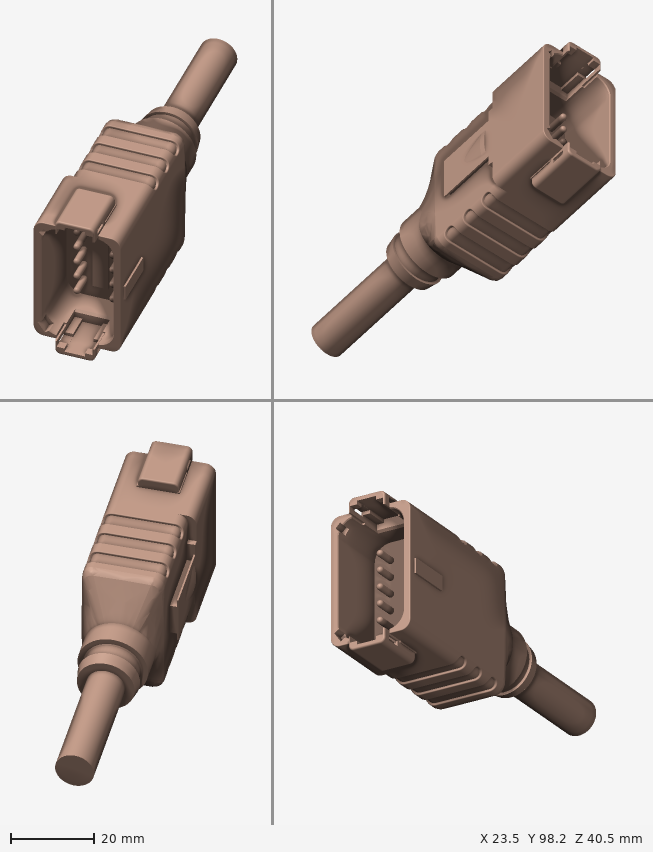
import cadquery as cq
import math


half_height = 17.3
right_face = 11.15
shell_left = -11.3
grip_left = -9.2
corner_radius = 2.65
shell_length = 19.5
grip_rear = 44.1
reach = 2 * half_height
edge_margin = 0.1
overlap = 1.0
rim_round = 0.2
shoulder_round = 2.6

cable_radius = 9.65 / 2
cable_end = 96.35
neck_radius = 14.0 / 2
neck_start = 57.95
neck_bevel = 0.3
collar_radius = 17.5 / 2
flange_start = 61.85
flange_end = 65.0
flange_large_radius = 7.75
flange_small_radius = 7.15
taper_end = 52.1
taper_end_radius = 8.55

groove_positions = (24.9, 32.0, 39.0)
groove_width = 3.7
groove_depth = 0.65
groove_reach = 2.35
groove_edge_round = 0.25

socket_half_width = 9.2
socket_half_height = 16.0
socket_radius = 4.5
socket_depth = 17.0
socket_rim_chamfer = 0.25
pin_radius = 0.88
pin_nose_ratio = 0.9
pin_length = 5.8
pin_column_x = 4.6
pin_pitch = 4.44
pin_rows = 6
bar_width = 4.0
bar_height = 24.0
bar_rise = 1.0
bar_x = -0.1
key_depth = 3.0
key_width = 1.5
key_x = -8.7
upper_key_z = 14.3
upper_key_length = 1.8
upper_key_angle = 45
lower_key_z = -14.4
lower_key_length = 3.2
lower_key_angle = -55

cover_half_width = 5.12
cover_foot_half_width = 5.36
cover_foot_top = 17.75
cover_outer = 20.25
cover_lip = 16.4
cover_front = -1.9
cover_rear = 12.35
cover_round = 1.4
cover_rear_round = 0.45
cover_front_round = 0.5
channel_rear = 10.5
channel_top = 19.05
channel_half_width = 2.65
channel_shelf = 18.1
channel_wide_half_width = 4.65
channel_bottom = 15.5
channel_ramp_top = 16.6
channel_ramp_length = 1.1
window_front = 0.2
window_rear = 4.1
window_bottom = 17.65
window_top = 19.0
rim_notch_depth = 5.0

tongue_end = 37.9
tongue_half_width = 6.4
tongue_thickness = 0.4
tongue_web_half_width = 4.3
tongue_root_end = 20.95
tongue_root_half_width = 9.6
bump_front = 22.1
bump_crest = 23.6
bump_tip = 30.1
bump_half_width = 4.05
bump_rise = 0.55
rib_front = 1.9
rib_rear = 14.0
rib_half_width = 2.0
rib_rise = 0.5


def block(x0, x1, y0, y1, z0, z1):
    """Box between two opposite corners."""
    size = (x1 - x0, y1 - y0, z1 - z0)
    return cq.Workplane("XY").box(*size, centered=False).translate((x0, y0, z0))


def section_plane(y):
    """Cross-section plane at Y = y; its local X, Y are global X, Z, and it extrudes toward -Y."""
    return cq.Workplane("XZ", origin=(0, y, 0))


def rounded_bar(x0, x1, half_z, radius, y0, y1):
    """Rounded rectangle spanning x0..x1 and -half_z..half_z, running from y0 to y1."""
    return block(x0, x1, y0, y1, -half_z, half_z).edges("|Y").fillet(radius)


def disc(radius, y0, y1):
    """Cylinder about the Y axis."""
    return section_plane(y1).circle(radius).extrude(y1 - y0)


def mirrored_pair(shape):
    """The shape above the mid plane joined to its mirror image below it."""
    return shape.union(shape.mirror("XY"))


def make_grip():
    """Overmoulded body with its tapering rear and rounded shoulder."""
    grip = rounded_bar(grip_left, right_face, half_height, corner_radius, 0, grip_rear)
    rear_outline = grip.faces(">Y").wires().val()
    collar_outline = section_plane(taper_end).circle(taper_end_radius).wires().val()
    taper = cq.Solid.makeLoft([rear_outline, collar_outline], True)
    body = grip.union(taper)
    shoulder_zone = cq.selectors.BoxSelector(
        (-reach, grip_rear - edge_margin, -reach), (reach, grip_rear + edge_margin, reach), boundingbox=True
    )
    return body.edges(shoulder_zone).fillet(shoulder_round)


def inset_grip(depth):
    """Grip cross-section shrunk evenly by a depth, as a bar through the whole grip."""
    return rounded_bar(
        grip_left + depth,
        right_face - depth,
        half_height - depth,
        corner_radius - depth,
        0,
        grip_rear,
    )


def cut_grooves(body):
    """Cut finger grooves a constant depth into the grip's top, bottom and corners; round their edges."""
    groove_radius = groove_width / 2
    arc_center = half_height - groove_reach + groove_radius
    floor_core = inset_grip(groove_depth)
    for y in groove_positions:
        slot = cq.Workplane("YZ").center(y, arc_center).circle(groove_radius).extrude(reach, both=True)
        slot = slot.union(block(-reach, reach, y - groove_radius, y + groove_radius, arc_center, reach))
        body = body.cut(mirrored_pair(slot).cut(floor_core))
    groove_zone = cq.selectors.BoxSelector(
        (-reach, min(groove_positions) - groove_width, -reach),
        (reach, max(groove_positions) + groove_width, reach),
        boundingbox=True,
    )
    skin_core = inset_grip(groove_depth / 2).val()
    mouth_edges = body.edges(groove_zone).filter(lambda edge: not skin_core.isInside(edge.positionAt(0.5)))
    return mouth_edges.fillet(groove_edge_round)


def make_cable_end():
    """Collar, neck, barbed flange and cable, all coaxial."""
    profile = (
        cq.Workplane("XY")
        .moveTo(0, grip_rear)
        .lineTo(collar_radius, grip_rear)
        .lineTo(collar_radius, neck_start)
        .lineTo(neck_radius + neck_bevel, neck_start)
        .lineTo(neck_radius, neck_start + neck_bevel)
        .lineTo(neck_radius, flange_start)
        .lineTo(flange_large_radius, flange_start)
        .lineTo(flange_small_radius, flange_end)
        .lineTo(cable_radius, flange_end)
        .lineTo(cable_radius, cable_end)
        .lineTo(0, cable_end)
        .close()
    )
    return profile.revolve(360, (0, 0, 0), (0, 1, 0))


def make_tongue():
    """T-shaped lock tongue reaching back from the shell over the grip's left side."""
    inside = grip_left + overlap
    root = block(
        shell_left,
        inside,
        shell_length - overlap,
        tongue_root_end,
        -tongue_root_half_width,
        tongue_root_half_width,
    )
    plate = block(
        shell_left,
        shell_left + tongue_thickness,
        shell_length,
        tongue_end,
        -tongue_half_width,
        tongue_half_width,
    )
    web = block(
        shell_left, inside, shell_length, tongue_end, -tongue_web_half_width, tongue_web_half_width
    )
    return root.union(plate).union(web)


def make_bump():
    """Thumb bump: a shallow cylinder that runs level, then slopes down to a parabolic tip."""
    radius = (bump_half_width**2 + bump_rise**2) / (2 * bump_rise)
    crest_x = shell_left - bump_rise
    slope_length = bump_tip - bump_crest
    slope_angle = math.degrees(math.atan2(bump_rise, slope_length))
    level = section_plane(bump_crest).center(crest_x + radius, 0).circle(radius)
    level = level.extrude(bump_crest - bump_front)
    slope = section_plane(bump_tip + overlap).center(crest_x + radius, 0).circle(radius)
    slope = slope.extrude(bump_tip + overlap - bump_front)
    slope = slope.rotate((crest_x, bump_crest, 0), (crest_x, bump_crest, 1), -slope_angle)
    beyond_crest = block(
        crest_x, shell_left, bump_crest, bump_tip, -bump_half_width, bump_half_width
    )
    before_crest = block(
        crest_x, shell_left, bump_front, bump_crest, -bump_half_width, bump_half_width
    )
    return slope.intersect(beyond_crest).union(level.intersect(before_crest))


def make_cover():
    """Upper latch cover, still solid, on a slightly wider foot behind the rim notch."""
    cover = block(
        -cover_half_width, cover_half_width, cover_front, cover_rear, cover_lip, cover_outer
    )
    cover = cover.edges("|Y and >Z").fillet(cover_round)
    cover = cover.faces(">Y").edges(">Z").fillet(cover_rear_round)
    cover = cover.faces("<Y").edges("not <Z").fillet(cover_front_round)
    foot = block(
        -cover_foot_half_width,
        cover_foot_half_width,
        rim_notch_depth,
        cover_rear,
        cover_lip,
        cover_foot_top,
    )
    return cover.union(foot)


def make_cover_cuts():
    """Stepped channel inside the upper latch cover and the window through its side walls."""
    narrow = block(
        -channel_half_width, channel_half_width, cover_front, channel_rear, channel_bottom, channel_top
    )
    wide = block(
        -channel_wide_half_width,
        channel_wide_half_width,
        cover_front,
        channel_rear,
        channel_bottom,
        channel_shelf,
    )
    window = block(
        -cover_half_width, cover_half_width, window_front, window_rear, window_bottom, window_top
    )
    ramp = (
        cq.Workplane("YZ")
        .moveTo(channel_rear, channel_ramp_top)
        .lineTo(channel_rear + channel_ramp_length, channel_bottom)
        .lineTo(channel_rear, channel_bottom)
        .close()
        .extrude(channel_wide_half_width, both=True)
    )
    return narrow.union(wide).union(window).union(ramp)


def make_rim_notch():
    """Gap in the shell's upper wall that frees the front of the latch cover."""
    return block(
        -cover_foot_half_width, cover_foot_half_width, 0, rim_notch_depth, channel_bottom, half_height
    )


def add_shell(grip):
    """Widen the front of the grip on its left into the shell and round the rim."""
    left_side = block(shell_left, 0, 0, shell_length, -half_height, half_height)
    left_side = left_side.edges("|Y and <X").fillet(corner_radius)
    return grip.union(left_side).faces("<Y").edges().fillet(rim_round)


def make_socket():
    """Socket cavity with a bevelled mouth."""
    socket = rounded_bar(
        -socket_half_width, socket_half_width, socket_half_height, socket_radius, 0, socket_depth
    )
    mouth = rounded_bar(
        -socket_half_width - socket_rim_chamfer,
        socket_half_width + socket_rim_chamfer,
        socket_half_height + socket_rim_chamfer,
        socket_radius + socket_rim_chamfer,
        -socket_rim_chamfer,
        socket_rim_chamfer,
    )
    mouth = mouth.faces(">Y").edges().chamfer(socket_rim_chamfer)
    return socket.union(mouth)


def make_rib():
    """Low rib on the right side of the shell."""
    return block(
        right_face - overlap, right_face + rib_rise, rib_front, rib_rear, -rib_half_width, rib_half_width
    )


def make_key_slot(z, length, angle):
    """One shallow slot in the socket rim, turned by an angle in the rim plane."""
    slot = section_plane(key_depth).center(key_x, z).transformed(rotate=(0, 0, angle))
    return slot.rect(length, key_width).extrude(key_depth)


def make_keyways():
    """Two key slots cut across the left corners of the socket rim."""
    upper = make_key_slot(upper_key_z, upper_key_length, upper_key_angle)
    lower = make_key_slot(lower_key_z, lower_key_length, lower_key_angle)
    return upper.union(lower)


def make_contacts():
    """Two columns of round-nosed pins and the raised bar between them."""
    bar = block(
        bar_x - bar_width / 2,
        bar_x + bar_width / 2,
        socket_depth - bar_rise,
        socket_depth + overlap,
        -bar_height / 2,
        bar_height / 2,
    )
    pin = disc(pin_radius, socket_depth - pin_length, socket_depth + overlap)
    pin = pin.faces("<Y").edges().fillet(pin_radius * pin_nose_ratio)
    contacts = bar
    for x in (-pin_column_x, pin_column_x):
        for row in range(pin_rows):
            z = (row - (pin_rows - 1) / 2) * pin_pitch
            contacts = contacts.union(pin.translate((x, 0, z)))
    return contacts


body = cut_grooves(add_shell(make_grip()))
body = body.union(make_cable_end()).union(make_tongue()).union(make_bump()).union(make_rib())
body = body.cut(make_socket()).cut(mirrored_pair(make_rim_notch()))
body = body.union(mirrored_pair(make_cover())).cut(mirrored_pair(make_cover_cuts()))
result = body.cut(make_keyways()).union(make_contacts())